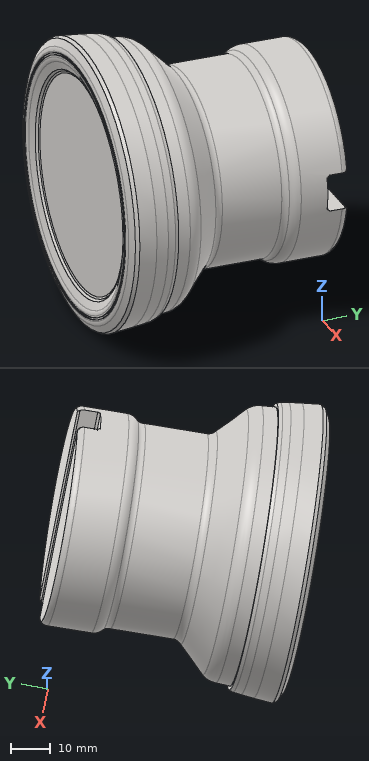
import cadquery as cq
import math

length = 63.0

head_radius = 56.0 / 2
head_front_y = 50.15
rear_round_length = 1.7
rear_round_depth = 0.85
neck_radius = 52.4 / 2
neck_rear_y = 45.6
neck_front_y = 29.5
head_taper_y = 47.4
head_taper_radius = 26.8

shoulder_rear_y = 27.35
shoulder_rear_radius = 27.1
shoulder_front_y = 20.65
shoulder_front_radius = shoulder_rear_radius + shoulder_rear_y - shoulder_front_y
collar_rear_y = 17.15
collar_rear_radius = 35.35
collar_front_radius = 35.6

flange_radius = 38.1
flange_wide_y = 2.4
flange_rear_y = 13.5
flange_rear_radius = 36.6
flange_edge_y = 12.5
flange_edge_radius = 36.95
band_rear_y = 10.45
band_rear_radius = 37.25
band_front_y = 7.2
band_front_radius = 37.65

rim_outer_y = 1.4
rim_outer_radius = 37.6
rim_cone_radius = 35.65
rim_cone_y = 0.3
rim_flat_outer_radius = 34.45
rim_flat_inner_radius = 33.0

groove_outer_radius = 34.05
groove_inner_radius = 33.5
groove_depth = 0.2

lip_inner_radius = 31.8
lip_depth = 0.4
cone_inner_radius = 29.65
cone_depth = 1.3
step_radius = 29.1
step_depth = 1.9
disc_radius = 28.6
disc_depth = 2.1

slot_width = 10.0
slot_depth = 5.7
slot_floor_chamfer = 0.7
slot_mouth_chamfer = 0.5


def blend_middle(start, end, tangent):
    """Middle point of the arc from start to end that leaves start along tangent."""
    chord = (end[0] - start[0], end[1] - start[1])
    chord_length = math.hypot(*chord)
    turn = math.atan2(chord[1], chord[0]) - math.atan2(tangent[1], tangent[0])
    turn = math.remainder(turn, 2 * math.pi)
    rise = chord_length / 2 * math.tan(turn / 2)
    return (
        (start[0] + end[0]) / 2 + chord[1] / chord_length * rise,
        (start[1] + end[1]) / 2 - chord[0] / chord_length * rise,
    )


def blend(outline, start, end, tangent):
    """Add an arc from start, the current point, to end."""
    return outline.threePointArc(blend_middle(start, end, tangent), end)


def make_body():
    """Revolve the half outline, given as (radius, y), about the Y axis."""
    rearward = (0, 1)
    forward_outward = (1, -1)
    forward_inward = (-1, -1)
    forward = (0, -1)
    rim_flat_outer = (rim_flat_outer_radius, 0)
    rim_cone = (rim_cone_radius, rim_cone_y)
    lip_outer = (rim_flat_inner_radius, 0)
    lip_inner = (lip_inner_radius, lip_depth)
    rear_edge = (head_radius - rear_round_depth, length)
    head_rear = (head_radius, length - rear_round_length)
    head_front = (head_radius, head_front_y)
    head_taper = (head_taper_radius, head_taper_y)
    neck_rear = (neck_radius, neck_rear_y)
    neck_front = (neck_radius, neck_front_y)
    shoulder_rear = (shoulder_rear_radius, shoulder_rear_y)
    shoulder_front = (shoulder_front_radius, shoulder_front_y)
    collar_rear = (collar_rear_radius, collar_rear_y)

    outline = cq.Workplane("XY").moveTo(0, length).lineTo(*rear_edge)
    outline = outline.threePointArc(blend_middle(head_rear, rear_edge, rearward), head_rear)
    outline = outline.lineTo(*head_front)
    outline = blend(outline, head_front, head_taper, forward)
    outline = blend(outline, head_taper, neck_rear, forward_inward)
    outline = outline.lineTo(*neck_front)
    outline = blend(outline, neck_front, shoulder_rear, forward)
    outline = outline.lineTo(*shoulder_front)
    outline = blend(outline, shoulder_front, collar_rear, forward_outward)
    outline = (
        outline.lineTo(collar_front_radius, flange_rear_y)
        .lineTo(flange_rear_radius, flange_rear_y)
        .lineTo(flange_edge_radius, flange_edge_y)
        .lineTo(band_rear_radius, band_rear_y)
        .lineTo(band_front_radius, band_front_y)
        .lineTo(flange_radius, flange_wide_y)
        .lineTo(rim_outer_radius, rim_outer_y)
        .lineTo(*rim_cone)
    )
    outline = outline.threePointArc(blend_middle(rim_flat_outer, rim_cone, (1, 0)), rim_flat_outer)
    outline = (
        outline.lineTo(groove_outer_radius, 0)
        .lineTo(groove_outer_radius, groove_depth)
        .lineTo(groove_inner_radius, groove_depth)
        .lineTo(groove_inner_radius, 0)
        .lineTo(*lip_outer)
    )
    outline = blend(outline, lip_outer, lip_inner, (-1, 0))
    outline = (
        outline.lineTo(cone_inner_radius, cone_depth)
        .lineTo(step_radius, step_depth)
        .lineTo(disc_radius, disc_depth)
        .lineTo(0, disc_depth)
        .close()
    )
    return outline.revolve(360, (0, 0, 0), (0, 1, 0))


def make_slot():
    """Slot through the head along X, with cut floor corners and a flared mouth."""
    half = slot_width / 2
    floor_y = length - slot_depth
    upper_side = [
        (floor_y, half - slot_floor_chamfer),
        (floor_y + slot_floor_chamfer, half),
        (length - slot_mouth_chamfer, half),
        (length, half + slot_mouth_chamfer),
    ]
    lower_side = [(y, -z) for y, z in reversed(upper_side)]
    return cq.Workplane("YZ").polyline(upper_side + lower_side).close().extrude(head_radius + 0.8, both=True)


result = make_body().cut(make_slot())